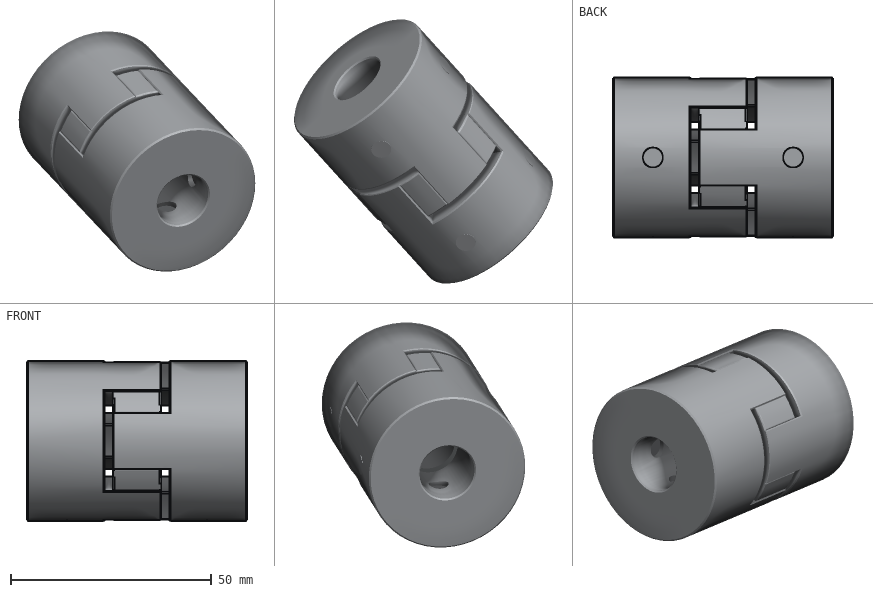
import cadquery as cq
import math


length = 55.0
outer_radius = 20.0
end_chamfer = 0.4
bore_radius = 7.0
bore_chamfer = 0.35
face_gap = 16.0
face_chamfer_length = 0.4
face_chamfer_depth = 0.2

jaws_per_hub = 3
jaw_clearance = 2.0
jaw_inner_radius = 13.0
jaw_side_chamfer = 0.4
jaw_tip_chamfer = 0.2

spider_radius = 19.75
spider_bore_radius = 6.7
tooth_half_width = 3.22
tooth_widest_radius = 17.4
flank_radius = 15.0
tooth_fillet = 0.4

screw_radius = 2.5
screw_length = 12.0
screw_inset = 10.0
screw_angles = (0, -90)

face_x = face_gap / 2
tip_x = face_x - jaw_clearance
screw_x = length / 2 - screw_inset
screw_inner_end = outer_radius - screw_length
tooth_count = 2 * jaws_per_hub
pitch = 360 / tooth_count
jaw_pitch = 360 / jaws_per_hub
rim_x = -face_x - face_chamfer_length


def turned(body, degrees):
    """Turn a body around the coupling axis."""
    return body.rotate((0, 0, 0), (1, 0, 0), degrees)


def polar(radius, degrees):
    angle = math.radians(degrees)
    return (radius * math.cos(angle), radius * math.sin(angle))


def cylinder(radius, start_x, height):
    return cq.Workplane("YZ", origin=(start_x, 0, 0)).circle(radius).extrude(height)


def flank_angle(radius):
    """Half angle of a tooth, seen from the coupling axis, at a radius.

    The flank is an arc whose center lies beyond the middle line of the tooth.
    """
    center_along = tooth_widest_radius
    center_across = tooth_half_width - flank_radius
    center_distance = math.hypot(center_along, center_across)
    center_angle = math.atan2(center_across, center_along)
    cosine = (radius**2 + center_distance**2 - flank_radius**2) / (2 * radius * center_distance)
    return math.degrees(center_angle + math.acos(cosine))


def ring_solid(profile):
    """Solid of revolution around X; points are (x, radius), with the seam on -Y."""
    points = [(x, -radius) for x, radius in profile]
    return cq.Workplane("XY").polyline(points).close().revolve(360, (0, 0, 0), (1, 0, 0))


def jaw_prism():
    """Space of one left hub jaw pointing to +Y, from behind the rim chamfer to the tip."""
    inner_angle = pitch / 2 - flank_angle(jaw_inner_radius)
    middle_angle = pitch / 2 - flank_angle(tooth_widest_radius)
    outer_angle = pitch / 2 - flank_angle(outer_radius)
    return (
        cq.Workplane("YZ", origin=(rim_x, 0, 0))
        .moveTo(*polar(jaw_inner_radius, -inner_angle))
        .threePointArc((jaw_inner_radius, 0), polar(jaw_inner_radius, inner_angle))
        .threePointArc(polar(tooth_widest_radius, middle_angle), polar(outer_radius, outer_angle))
        .threePointArc((outer_radius, 0), polar(outer_radius, -outer_angle))
        .threePointArc(polar(tooth_widest_radius, -middle_angle), polar(jaw_inner_radius, -inner_angle))
        .close()
        .extrude(tip_x - rim_x)
        .edges("|X")
        .chamfer(jaw_side_chamfer)
    )


def space_around_jaws():
    """Everything in front of the left hub's inner face and rim chamfer, except its jaws."""
    space = ring_solid([
        (-face_x, 0),
        (-face_x, outer_radius - face_chamfer_depth),
        (rim_x, outer_radius),
        (tip_x, outer_radius),
        (tip_x, 0),
    ])
    for index in range(jaws_per_hub):
        space = space.cut(turned(jaw_prism(), index * jaw_pitch))
    return space


def screw_cylinder(angle, start_radius, height):
    """Cylinder on a set screw axis of the left hub, starting at a radius."""
    upright = cq.Workplane("XZ", origin=(-screw_x, start_radius, 0)).circle(screw_radius).extrude(-height)
    return turned(upright, angle)


def left_hub(angles):
    """Hub with its first jaw on +Y and set screw holes at the given angles."""
    hub = ring_solid([
        (-length / 2, bore_radius + bore_chamfer),
        (-length / 2, outer_radius - end_chamfer),
        (-length / 2 + end_chamfer, outer_radius),
        (tip_x - jaw_tip_chamfer, outer_radius),
        (tip_x, outer_radius - jaw_tip_chamfer),
        (tip_x, bore_radius),
        (-length / 2 + bore_chamfer, bore_radius),
    ])
    hub = hub.cut(space_around_jaws())
    for angle in angles:
        hub = hub.cut(screw_cylinder(angle, 0, outer_radius))
    return hub


def right_hub():
    """Mirrored hub, turned half a turn so that its jaws stand between the left ones."""
    half_turn = 180
    unturned_angles = [angle - half_turn for angle in screw_angles]
    return turned(left_hub(unturned_angles), half_turn).mirror("YZ")


def tooth():
    """One spider tooth pointing to +Y, its foot reaching into the ring."""
    foot_angle = flank_angle(jaw_inner_radius)
    middle_angle = flank_angle(tooth_widest_radius)
    outer_angle = flank_angle(spider_radius)
    foot_radius = (spider_bore_radius + jaw_inner_radius) / 2
    return (
        cq.Workplane("YZ", origin=(-tip_x, 0, 0))
        .moveTo(*polar(foot_radius, -foot_angle))
        .lineTo(*polar(jaw_inner_radius, -foot_angle))
        .threePointArc(polar(tooth_widest_radius, -middle_angle), polar(spider_radius, -outer_angle))
        .threePointArc((spider_radius, 0), polar(spider_radius, outer_angle))
        .threePointArc(polar(tooth_widest_radius, middle_angle), polar(jaw_inner_radius, foot_angle))
        .lineTo(*polar(foot_radius, foot_angle))
        .close()
        .extrude(2 * tip_x)
        .faces(">Y")
        .edges()
        .fillet(tooth_fillet)
    )


def spider():
    body = cylinder(jaw_inner_radius, -tip_x, 2 * tip_x)
    body = body.cut(cylinder(spider_bore_radius, -tip_x, 2 * tip_x))
    for index in range(tooth_count):
        body = body.union(turned(tooth(), (index + 0.5) * pitch))
    return body


def set_screws():
    """Two screws in the left hub and their mirror images in the right hub."""
    screws = []
    for angle in screw_angles:
        screw = screw_cylinder(angle, screw_inner_end, screw_length)
        screws.append(screw.val())
        screws.append(screw.mirror("YZ").val())
    return screws


result = cq.Compound.makeCompound([
    left_hub(screw_angles).val(),
    right_hub().val(),
    spider().val(),
    *set_screws(),
])